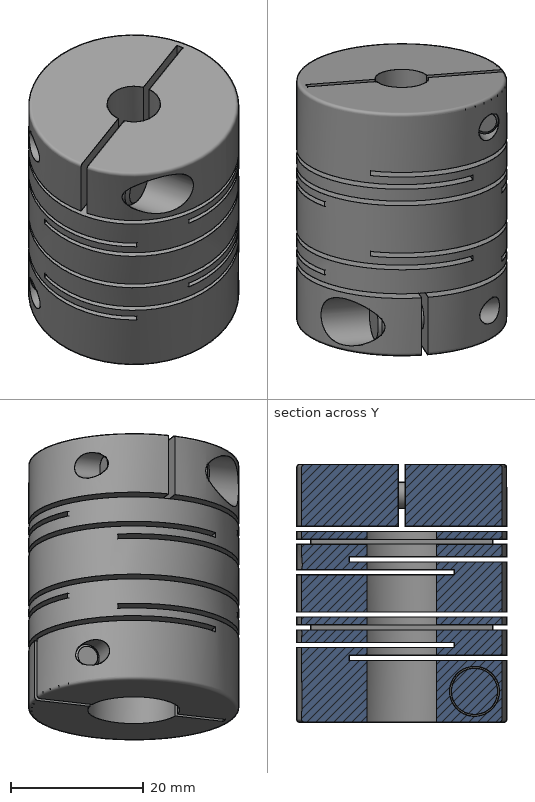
import cadquery as cq

height = 39.0
diameter = 31.8
radius = diameter / 2
edge_round = 0.5
upper_bore_radius = 4.0
lower_bore_radius = 6.95

slot_width = 0.75
slot_reach = 7.9
hub_slot_offset = 9.75
outer_slot_offset = 7.8
inner_slot_offset = 5.15
middle_slot_offset = 3.2

slit_width = 1.0
slit_blind_reach = 14.7
screw_distance = 11.0
screw_radius = 2.0
screw_tip = 9.15
tip_chamfer = 0.4
head_radius = 3.5
head_top = 6.82
head_height = 3.98
head_chamfer = 0.5
counterbore_radius = 3.75

middle = height / 2
hub_height = middle - hub_slot_offset - slot_width / 2
screw_height = height - hub_height / 2
head_seat = head_top - head_height
cut_length = 2 * radius

slots = [
    (hub_slot_offset, "-Y"),
    (outer_slot_offset, "+Y"),
    (inner_slot_offset, "-X"),
    (middle_slot_offset, "+X"),
    (-middle_slot_offset, "-Y"),
    (-inner_slot_offset, "+Y"),
    (-outer_slot_offset, "+X"),
    (-hub_slot_offset, "-X"),
]
turn_from_plus_x = {"+X": 0, "+Y": 90, "-X": 180, "-Y": 270}


def flexure_slot(offset, direction):
    """Level cut that starts at its straight end and runs out in the given direction."""
    slot = cq.Workplane("XY").box(cut_length, cut_length, slot_width, centered=(False, True, True))
    slot = slot.translate((-slot_reach, 0, middle + offset))
    return slot.rotate((0, 0, 0), (0, 0, 1), turn_from_plus_x[direction])


def rod_along_x(rod_radius, start, end):
    """Cylinder on the clamp screw axis of the upper hub."""
    plane = cq.Workplane("YZ", origin=(start, -screw_distance, screw_height))
    return plane.circle(rod_radius).extrude(end - start)


def to_lower_hub(shape):
    """Half turn about the horizontal X = Y line through the middle of the body."""
    return shape.rotate((0, 0, middle), (0.4, 0.4, middle), 180)


def clamp_cuts():
    """Slit, screw hole and counterbore of the upper hub."""
    slit = (
        cq.Workplane("XY")
        .box(slit_width, cut_length, hub_height, centered=(True, False, False))
        .translate((0, slit_blind_reach - cut_length, height - hub_height))
    )
    hole = rod_along_x(screw_radius, -radius, 0)
    counterbore = rod_along_x(counterbore_radius, head_seat, radius)
    return slit.union(hole).union(counterbore)


def clamp_screw():
    """Screw of the upper hub, with its head seated in the counterbore."""
    shank = rod_along_x(screw_radius, -screw_tip, head_seat).faces("<X").chamfer(tip_chamfer)
    head = rod_along_x(head_radius, head_seat, head_top).faces(">X").chamfer(head_chamfer)
    return shank.union(head)


body = cq.Workplane("XY").circle(radius).extrude(height).edges().fillet(edge_round)

upper_bore = cq.Workplane("XY").circle(upper_bore_radius).extrude(height)
lower_bore = cq.Workplane("XY").circle(lower_bore_radius).extrude(height - hub_height)
body = body.cut(upper_bore).cut(lower_bore)

for offset, direction in slots:
    body = body.cut(flexure_slot(offset, direction))

upper_cuts = clamp_cuts()
upper_screw = clamp_screw()
body = body.cut(upper_cuts).cut(to_lower_hub(upper_cuts))
result = body.union(upper_screw).union(to_lower_hub(upper_screw))